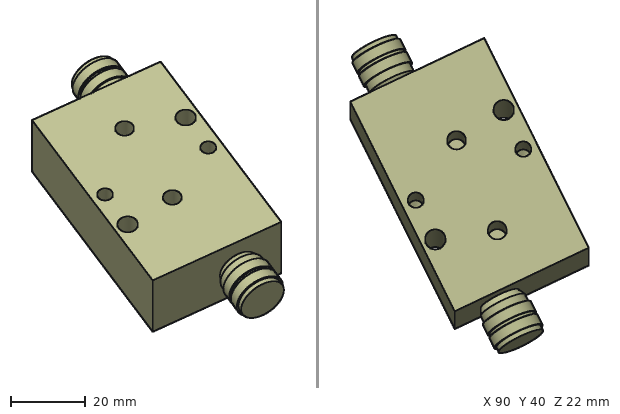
import cadquery as cq
import math

overall_length = 90.0
connector_length = 13.0
block_length = overall_length - 2 * connector_length
block_width = 40.0
block_height = 22.0
top_z = block_height / 2

connector_y = 6.6
barrel_radius = 6.7
ring_radius = 7.2
taper_end_radius = 5.7
tip_length = 1.4
ring_width = 3.1
ring_gap = 1.0
taper_length = 2.0

edge_hole_y = 16.0
through_diameter = 5.5
through_x = 12.0
pilot_diameter = 4.2
pilot_depth = 9.9
drill_point_angle = 118.0
port_diameter = 5.0
port_depth = 9.9
port_centres = [(-17.0, 0.0), (10.0, -1.0)]


def make_connector():
    """Turned connector on the -X end, with two raised rings and a tapered root."""
    first_ring_end = tip_length + ring_width
    second_ring_start = first_ring_end + ring_gap
    second_ring_end = second_ring_start + ring_width
    taper_start = connector_length - taper_length
    profile = [
        (0, 0),
        (0, barrel_radius),
        (tip_length, barrel_radius),
        (tip_length, ring_radius),
        (first_ring_end, ring_radius),
        (first_ring_end, barrel_radius),
        (second_ring_start, barrel_radius),
        (second_ring_start, ring_radius),
        (second_ring_end, ring_radius),
        (second_ring_end, barrel_radius),
        (taper_start, barrel_radius),
        (connector_length, taper_end_radius),
        (connector_length, 0),
    ]
    turned = cq.Workplane("XY").polyline(profile).close().revolve(360, (0, 0, 0), (1, 0, 0))
    return turned.translate((-overall_length / 2, connector_y, 0))


def make_drill(x, y, diameter, depth):
    """Flat-ended cutter reaching down from the top face."""
    return cq.Workplane("XY", origin=(x, y, top_z)).circle(diameter / 2).extrude(-depth)


def make_pointed_drill(x, y, diameter, depth):
    """Cutter whose full diameter reaches the given depth, followed by a cone."""
    radius = diameter / 2
    point_length = radius / math.tan(math.radians(drill_point_angle / 2))
    profile = [(0, 0), (radius, 0), (radius, -depth), (0, -depth - point_length)]
    cutter = cq.Workplane("XZ").polyline(profile).close().revolve(360, (0, 0, 0), (0, 1, 0))
    return cutter.translate((x, y, top_z))


result = cq.Workplane("XY").box(block_length, block_width, block_height)

connector = make_connector()
result = result.union(connector).union(connector.mirror("YZ"))

for side in (-1, 1):
    hole_y = side * edge_hole_y
    result = result.cut(make_drill(-side * through_x, hole_y, through_diameter, block_height))
    result = result.cut(make_pointed_drill(0, hole_y, pilot_diameter, pilot_depth))

for port_x, port_y in port_centres:
    result = result.cut(make_drill(port_x, port_y, port_diameter, port_depth))